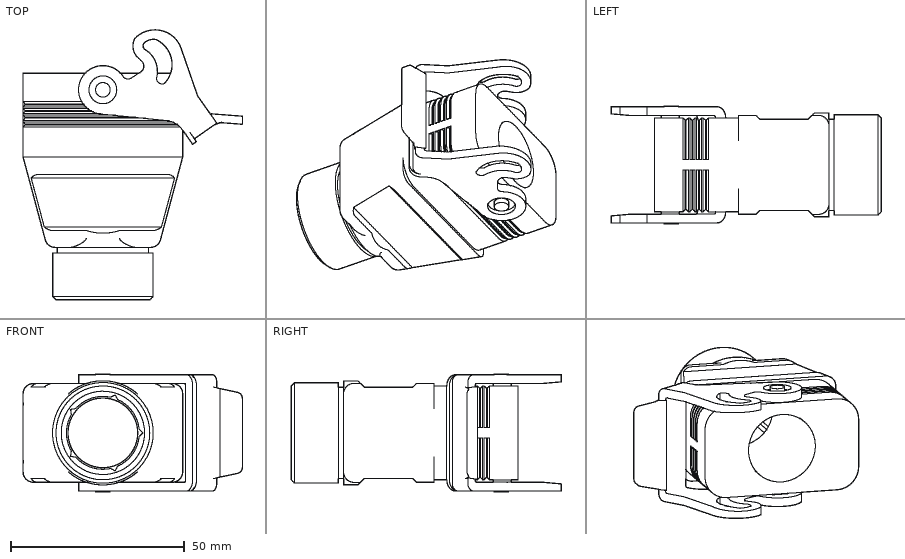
import cadquery as cq
import math


HOUSING_WIDTH = 46.0
BLOCK_HEIGHT = 27.0
BLOCK_CORNER_RADIUS = 6.5
BLOCK_FRONT_Y = 4.82
STEP_Y = -19.35

GROOVE_COUNT = 4
GROOVE_WIDTH = 1.5
GROOVE_DEPTH = 0.6
GROOVE_FIRST_Y = -3.42
GROOVE_PITCH = 1.93
GROOVE_GAP = 3.0
GROOVE_FLANK_ANGLE = 45.0

BODY_HEIGHT = 28.5
BODY_END_Y = -45.4
BODY_TAPER = 15.0
BODY_FILLET = 3.0
CHANNEL_FLOOR_Z = 13.2
CHANNEL_START_Y = -25.43
CHANNEL_END_Y = -39.48
CHANNEL_CLEARANCE = 1.0

COLLAR_RADIUS = 15.0
NECK_RADIUS = 13.2
NUT_RADIUS = 14.5
NUT_START_Y = -46.93
NUT_END_Y = -60.5
NUT_CHAMFER = 1.0
BORE_RADIUS = 10.0
KEYED_BORE_RADIUS = 10.5
KEYED_BORE_START_Y = -40.0
BORE_CHAMFER = 1.5
KEYWAY_COUNT = 5
KEYWAY_TIP_RADIUS = 11.5

PIVOT_RADIUS = 2.1
PIVOT_TOP_Z = 17.0
PAD_HALF_WIDTH = 2.2
PAD_LOW_Y = -2.35
PAD_HIGH_Y = 2.9
PAD_CORNER_RADIUS = 1.75

LEVER_HALF_HEIGHT = 16.76
SHEET = 2.6
EYE_RADIUS = 7.0
RECESS_RADIUS = 4.0
RECESS_DEPTH = 1.3
EYE_END_ANGLE = 31.0
VALLEY_BOTTOM = (7.3, 3.1)
VALLEY_END = (8.2, 3.4)
THROAT_START = (10.7, 5.05)
THROAT_BOTTOM = (11.75, 6.8)
THROAT_END = (11.0, 8.4)
HOOK_TIP_START = (9.75, 9.6)
HOOK_TIP = (8.62, 12.5)
HOOK_CENTER = (15.0, 9.29)
HOOK_RADIUS = 8.0
HOOK_START_ANGLE = 137.0
HOOK_END_ANGLE = 20.3
LEAD_IN_START_Y = 11.66
LEAD_IN_RISE = 0.5
WEB_ANGLE = 35.0
BEND_POINT = (31.56, -7.85)
BEND_RADIUS = 2.15
INNER_BEND_RADIUS = 0.5
WEB_LENGTH = 9.2
SHOULDER_LENGTH = 7.4
LIP_WIDTH = 1.35
LIP_BEND_RADIUS = 3.15
LOWER_EDGE_ANGLE = 5.7
LOWER_EDGE_FILLET = 6.4

SLOT_INNER_LOW = (15.45, 3.3)
SLOT_INNER_MIDDLE = (14.85, 8.8)
SLOT_INNER_HIGH = (12.3, 11.5)
SLOT_LEFT_END = (11.6, 12.6)
SLOT_CROWN_START = (12.4, 13.85)
SLOT_CROWN = (13.7, 14.4)
SLOT_OUTER_HIGH = (15.3, 14.45)
SLOT_OUTER_MIDDLE = (19.25, 10.4)
SLOT_OUTER_LOW = (17.7, 1.8)
SLOT_LOW_END = (16.2, 1.95)

HANDLE_TIP_X = 40.2
HANDLE_ROOT_X = 31.0
HANDLE_TOP_ROOT = (31.27, -6.88)
HANDLE_TOP_TIP = (HANDLE_TIP_X, -7.57)
HANDLE_BOTTOM_TIP = (HANDLE_TIP_X, -9.96)
HANDLE_BOTTOM_ROOT = (33.77, -9.47)
HANDLE_INNER_OVERLAP = 0.6
HANDLE_OUTER_OVERLAP = 1.1
HANDLE_ROOT_HALF_HEIGHT = 13.35
HANDLE_SIDE_TAPER = 12.0
HANDLE_CORNER_RADIUS = 1.9
HANDLE_EDGE_RADIUS = 0.2


def extrude_symmetric(outline, half_height):
    """Extrude a closed XY outline by half_height to both sides of Z = 0."""
    return outline.extrude(half_height, both=True)


def cylinder_y(radius, start_y, end_y):
    """Cylinder around the Y axis from start_y down to end_y."""
    return cq.Workplane("XZ", origin=(0, start_y, 0)).circle(radius).extrude(start_y - end_y)


def both_sides(shape):
    """The shape together with its mirror image below Z = 0."""
    return shape.union(shape.mirror("XY"))



def block_section(inset, start_y, length, taper=0):
    """Rounded-rectangle section of the upper block, shrunk by inset, extruded along -Y."""
    outline = (
        cq.Sketch()
        .rect(HOUSING_WIDTH - 2 * inset, BLOCK_HEIGHT - 2 * inset)
        .vertices()
        .fillet(BLOCK_CORNER_RADIUS - inset)
    )
    plane = cq.Workplane("XZ", origin=(0, start_y, 0))
    return plane.placeSketch(outline).extrude(length, taper=taper)


def groove(start_y):
    """Groove with 45 degree flanks around the block, left out at the middle of the two narrow sides."""
    end_y = start_y - GROOVE_WIDTH
    mid_y = (start_y + end_y) / 2
    front_flank = block_section(0, start_y, GROOVE_DEPTH, taper=GROOVE_FLANK_ANGLE)
    back_flank = block_section(0, end_y, -GROOVE_DEPTH, taper=GROOVE_FLANK_ANGLE)
    core = block_section(GROOVE_DEPTH, start_y, GROOVE_WIDTH).union(front_flank).union(back_flank)
    gap = cq.Workplane("XY", origin=(0, mid_y, 0)).box(HOUSING_WIDTH, GROOVE_WIDTH, GROOVE_GAP)
    return block_section(0, start_y, GROOVE_WIDTH).cut(core).cut(gap)


def upper_block():
    """Block with rounded corners and a band of grooves."""
    block = block_section(0, BLOCK_FRONT_Y, BLOCK_FRONT_Y - STEP_Y)
    for index in range(GROOVE_COUNT):
        block = block.cut(groove(GROOVE_FIRST_Y - index * GROOVE_PITCH))
    return block


def channel():
    """Shallow channel with 45 degree flanks across the top of the lower body."""
    top_z = COLLAR_RADIUS + CHANNEL_CLEARANCE
    rise = top_z - CHANNEL_FLOOR_Z
    return (
        cq.Workplane("YZ")
        .polyline([
            (CHANNEL_START_Y, CHANNEL_FLOOR_Z),
            (CHANNEL_START_Y + rise, top_z),
            (CHANNEL_END_Y - rise, top_z),
            (CHANNEL_END_Y, CHANNEL_FLOOR_Z),
        ])
        .close()
        .extrude(HOUSING_WIDTH / 2, both=True)
    )


def lower_body():
    """Body tapering toward the outlet, with rounded edges, the collar and two channels."""
    top_half = HOUSING_WIDTH / 2
    end_half = top_half - (STEP_Y - BODY_END_Y) * math.tan(math.radians(BODY_TAPER))
    outline = cq.Workplane("XY").polyline([
        (-top_half, STEP_Y),
        (-end_half, BODY_END_Y),
        (end_half, BODY_END_Y),
        (top_half, STEP_Y),
    ]).close()
    body = extrude_symmetric(outline, BODY_HEIGHT / 2)
    body = body.edges("not(>Y)").fillet(BODY_FILLET)
    flat_half = end_half - BODY_FILLET * math.tan(math.radians((90 - BODY_TAPER) / 2))
    collar_clip = cq.Workplane("XY").box(2 * flat_half, -2 * BODY_END_Y, 2 * COLLAR_RADIUS)
    collar = cylinder_y(COLLAR_RADIUS, CHANNEL_END_Y, BODY_END_Y).intersect(collar_clip)
    body = body.union(collar)
    return body.cut(both_sides(channel()))


def cable_outlet():
    """Short neck followed by the chamfered nut."""
    neck = cylinder_y(NECK_RADIUS, BODY_END_Y, NUT_START_Y)
    nut = cylinder_y(NUT_RADIUS, NUT_START_Y, NUT_END_Y).faces("<Y").chamfer(NUT_CHAMFER)
    return neck.union(nut)


def keyway(angle):
    """V-shaped groove in the wall of the keyed bore, with 45 degree flanks."""
    root_radius = BORE_RADIUS * math.cos(math.pi / KEYWAY_COUNT)
    half_width = KEYWAY_TIP_RADIUS - root_radius
    return (
        cq.Workplane("XZ", origin=(0, KEYED_BORE_START_Y, 0))
        .polyline([(root_radius, -half_width), (KEYWAY_TIP_RADIUS, 0), (root_radius, half_width)])
        .close()
        .extrude(KEYED_BORE_START_Y - NUT_END_Y)
        .rotate((0, 0, 0), (0, 1, 0), angle)
    )


def bore():
    """Through bore, widened to the keyed bore at the outlet, with a chamfered mouth."""
    mouth_radius = KEYED_BORE_RADIUS + BORE_CHAMFER
    cutter = (
        cq.Workplane("XY")
        .polyline([
            (0, BLOCK_FRONT_Y),
            (BORE_RADIUS, BLOCK_FRONT_Y),
            (BORE_RADIUS, KEYED_BORE_START_Y),
            (KEYED_BORE_RADIUS, KEYED_BORE_START_Y),
            (KEYED_BORE_RADIUS, NUT_END_Y + BORE_CHAMFER),
            (mouth_radius, NUT_END_Y),
            (0, NUT_END_Y),
        ])
        .close()
        .revolve(360, (0, 0, 0), (0, 1, 0))
    )
    for index in range(KEYWAY_COUNT):
        cutter = cutter.union(keyway(index * 360 / KEYWAY_COUNT))
    return cutter


def pivot():
    """Pivot pin standing on a spacer pad that fills the gap below the lever plate."""
    inner_z = LEVER_HALF_HEIGHT - SHEET
    pad = (
        cq.Workplane("XY", origin=(0, 0, BLOCK_HEIGHT / 2))
        .center(0, (PAD_LOW_Y + PAD_HIGH_Y) / 2)
        .rect(2 * PAD_HALF_WIDTH, PAD_HIGH_Y - PAD_LOW_Y)
        .extrude(inner_z - BLOCK_HEIGHT / 2)
        .edges("|Z and <Y")
        .fillet(PAD_CORNER_RADIUS)
    )
    pin = cq.Workplane("XY", origin=(0, 0, inner_z)).circle(PIVOT_RADIUS).extrude(PIVOT_TOP_Z - inner_z)
    return pad.union(pin)


def build_housing():
    """Housing with its cable outlet and both pivot pins."""
    shell = upper_block().union(lower_body()).union(cable_outlet())
    return shell.cut(bore()).union(both_sides(pivot()))



def web_point(along, outward):
    """Point given by its distance along the web from the bend point and outward across it."""
    cos_web = math.cos(math.radians(WEB_ANGLE))
    sin_web = math.sin(math.radians(WEB_ANGLE))
    return (
        BEND_POINT[0] + along * cos_web + outward * sin_web,
        BEND_POINT[1] + along * sin_web - outward * cos_web,
    )


def polar(center, radius, degrees):
    """Point on a circle at the given angle from +X."""
    angle = math.radians(degrees)
    return (center[0] + radius * math.cos(angle), center[1] + radius * math.sin(angle))


def lower_corner():
    """Corner where the lower edge of the plate meets the line of the free web end."""
    start_x, start_y = lower_edge_start()
    end_x, end_y = web_point(-WEB_LENGTH, 0)
    edge_slope = -math.tan(math.radians(LOWER_EDGE_ANGLE))
    end_slope = -1 / math.tan(math.radians(WEB_ANGLE))
    offset = end_y - end_slope * end_x - (start_y - edge_slope * start_x)
    corner_x = offset / (edge_slope - end_slope)
    return (corner_x, start_y + edge_slope * (corner_x - start_x))


def lower_edge_start():
    """Point where the straight lower edge leaves the eye."""
    return polar((0, 0), EYE_RADIUS, -90 - LOWER_EDGE_ANGLE)


def side_outline():
    """Outline of the side plate: eye, throat, hook, shoulder, web and lower edge."""
    hook_top = polar(HOOK_CENTER, HOOK_RADIUS, 90)
    return (
        cq.Workplane("XY")
        .moveTo(*lower_edge_start())
        .threePointArc((-EYE_RADIUS, 0), polar((0, 0), EYE_RADIUS, EYE_END_ANGLE))
        .threePointArc(VALLEY_BOTTOM, VALLEY_END)
        .lineTo(*THROAT_START)
        .threePointArc(THROAT_BOTTOM, THROAT_END)
        .lineTo(*HOOK_TIP_START)
        .threePointArc(HOOK_TIP, polar(HOOK_CENTER, HOOK_RADIUS, HOOK_START_ANGLE))
        .threePointArc(hook_top, polar(HOOK_CENTER, HOOK_RADIUS, HOOK_END_ANGLE))
        .lineTo(*web_point(0, -SHOULDER_LENGTH))
        .lineTo(*web_point(0, BEND_RADIUS))
        .lineTo(*web_point(-WEB_LENGTH, BEND_RADIUS))
        .lineTo(*lower_corner())
        .close()
    )


def curved_slot():
    """Banana-shaped slot behind the hook."""
    outline = (
        cq.Workplane("XY")
        .moveTo(*SLOT_INNER_LOW)
        .threePointArc(SLOT_INNER_MIDDLE, SLOT_INNER_HIGH)
        .threePointArc(SLOT_LEFT_END, SLOT_CROWN_START)
        .threePointArc(SLOT_CROWN, SLOT_OUTER_HIGH)
        .threePointArc(SLOT_OUTER_MIDDLE, SLOT_OUTER_LOW)
        .threePointArc(SLOT_LOW_END, SLOT_INNER_LOW)
        .close()
    )
    return extrude_symmetric(outline, LEVER_HALF_HEIGHT)


def side_plates():
    """Solid bracket with the lever outline and a rounded lower corner."""
    solid = extrude_symmetric(side_outline(), LEVER_HALF_HEIGHT)
    corner_edge = cq.selectors.NearestToPointSelector((*lower_corner(), 0))
    return solid.edges("|Z").edges(corner_edge).fillet(LOWER_EDGE_FILLET)


def round_web_edges(solid, along, radius):
    """Round the two outer edges of the web, radius being also its outward offset."""
    for z in (-LEVER_HALF_HEIGHT, LEVER_HALF_HEIGHT):
        edge_point = (*web_point(along, radius), z)
        solid = solid.edges(cq.selectors.NearestToPointSelector(edge_point)).fillet(radius)
    return solid


def lip():
    """Raised rim along the free end of the web."""
    outline = cq.Workplane("XY").polyline([
        web_point(-WEB_LENGTH, -SHEET),
        web_point(-WEB_LENGTH, LIP_BEND_RADIUS),
        web_point(LIP_WIDTH - WEB_LENGTH, LIP_BEND_RADIUS),
        web_point(LIP_WIDTH - WEB_LENGTH, -SHEET),
    ]).close()
    solid = extrude_symmetric(outline, LEVER_HALF_HEIGHT)
    return round_web_edges(solid, LIP_WIDTH / 2 - WEB_LENGTH, LIP_BEND_RADIUS)


def inner_space():
    """Space between the two plates, up to the inner face of the web."""
    inner_face = BEND_RADIUS - SHEET
    reach = HOUSING_WIDTH
    outline = cq.Workplane("XY").polyline([
        web_point(-reach, inner_face),
        web_point(reach, inner_face),
        web_point(reach, -reach),
        web_point(-reach, -reach),
    ]).close()
    solid = extrude_symmetric(outline, LEVER_HALF_HEIGHT - SHEET)
    for z in (SHEET - LEVER_HALF_HEIGHT, LEVER_HALF_HEIGHT - SHEET):
        edge_point = (*web_point(0, inner_face), z)
        solid = solid.edges(cq.selectors.NearestToPointSelector(edge_point)).fillet(INNER_BEND_RADIUS)
    return solid


def lead_in():
    """Wedge that thins the inner side of the hook toward its tip."""
    inner_z = LEVER_HALF_HEIGHT - SHEET
    tip_y = HOOK_CENTER[1] + HOOK_RADIUS
    return (
        cq.Workplane("YZ")
        .polyline([(LEAD_IN_START_Y, inner_z), (tip_y, inner_z), (tip_y, inner_z + LEAD_IN_RISE)])
        .close()
        .extrude(HANDLE_TIP_X)
    )


def handle():
    """Finger tab on the web, narrowing toward its rounded tip."""
    section = cq.Workplane("XY").polyline([
        web_point(-HANDLE_INNER_OVERLAP, BEND_RADIUS - SHEET),
        HANDLE_TOP_ROOT,
        HANDLE_TOP_TIP,
        HANDLE_BOTTOM_TIP,
        HANDLE_BOTTOM_ROOT,
        web_point(-HANDLE_OUTER_OVERLAP, BEND_RADIUS),
    ]).close()
    tab = extrude_symmetric(section, LEVER_HALF_HEIGHT)
    narrowing = (HANDLE_TIP_X - HANDLE_ROOT_X) * math.tan(math.radians(HANDLE_SIDE_TAPER))
    tip_half_height = HANDLE_ROOT_HALF_HEIGHT - narrowing
    face = (
        cq.Workplane("XZ")
        .polyline([
            (HANDLE_ROOT_X, -HANDLE_ROOT_HALF_HEIGHT),
            (HANDLE_TIP_X, -tip_half_height),
            (HANDLE_TIP_X, tip_half_height),
            (HANDLE_ROOT_X, HANDLE_ROOT_HALF_HEIGHT),
        ])
        .close()
        .extrude(-BODY_END_Y)
        .edges("|Y and >X")
        .fillet(HANDLE_CORNER_RADIUS)
    )
    tab = tab.intersect(face)
    middle_x = (HANDLE_ROOT_X + HANDLE_TIP_X) / 2
    for side_y in (HANDLE_TOP_TIP[1], HANDLE_BOTTOM_TIP[1]):
        broad_face = cq.selectors.NearestToPointSelector((middle_x, side_y, 0))
        tab = tab.faces(broad_face).edges("not(<X)").fillet(HANDLE_EDGE_RADIUS)
    return tab


def pivot_hole():
    """Hole for the pivot pin with a wider recess on the outer side."""
    outer_z = LEVER_HALF_HEIGHT
    hole = cq.Workplane("XY").circle(PIVOT_RADIUS).extrude(outer_z)
    recess = cq.Workplane("XY", origin=(0, 0, outer_z)).circle(RECESS_RADIUS).extrude(-RECESS_DEPTH)
    return hole.union(recess)


def build_lever():
    """Bent sheet lever: two side plates, the web between them, its lip and the handle."""
    bracket = round_web_edges(side_plates(), -WEB_LENGTH / 2, BEND_RADIUS)
    bracket = bracket.union(lip()).cut(inner_space())
    bracket = bracket.cut(curved_slot()).cut(both_sides(lead_in()))
    return bracket.cut(both_sides(pivot_hole())).union(handle())


housing = build_housing()
lever = build_lever()
result = cq.Compound.makeCompound([housing.val(), lever.val()])